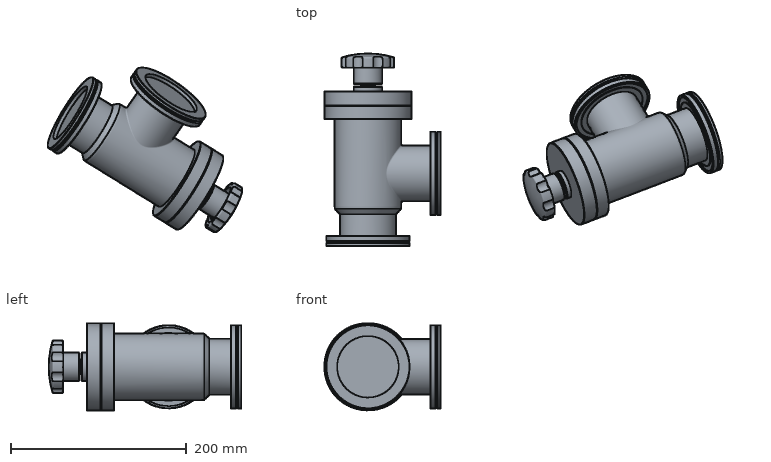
import cadquery as cq
import math


port_reach = 82.8
total_length = 219.3
bottom_y = -port_reach
top_y = bottom_y + total_length

body_radius = 38.1
lower_tube_radius = 32.0
side_tube_radius = 31.75
cone_start = 36.5
cone_height = 6.0
cone_small_radius = lower_tube_radius + 0.3
body_taper_height = 2.7
body_taper = 0.3
side_weld_fillet = 1.4

flange_radius = 47.5
flange_thickness = 12.0
flange_edge_chamfer = 0.4
rim_groove_start = 3.5
rim_groove_width = 2.8
rim_groove_depth = 1.4
clamp_groove_outer_radius = 44.7
clamp_groove_inner_radius = 38.6
clamp_groove_depth = 1.0
recess_radius = 35.0
recess_depth = 4.4

bonnet_radius = 49.75
bonnet_bottom_y = top_y - 74.8
bonnet_joint_y = top_y - 59.6
bonnet_top_y = top_y - 43.3
bonnet_chamfer = 0.6

collar_radius = 16.3
collar_top_y = top_y - 37.2
collar_chamfer = 1.2
stem_radius = 8.4
stem_step_radius = 7.6
stem_step_y = top_y - 36.0

hub_radius = 16.3
hub_bottom_y = top_y - 35.0
hub_chamfer = 0.8
knob_radius = 30.2
knob_bottom_y = top_y - 16.6
dome_radius = 100.0
knob_fillet = 2.0
lobe_count = 8
lobe_half_angle = 11.7
scallop_radius = 7.0
hollow_radius = 23.2
hollow_depth = 6.0
rib_radius = 4.8
rib_axis_distance = 14.0
rib_middle_angle = 135
rib_spread = 63


def disc(radius, y_from, y_to):
    """Cylinder on the Y axis between two levels."""
    return cq.Workplane("XZ", origin=(0, y_from, 0)).circle(radius).extrude(y_from - y_to)


def port_flange():
    """Grooved flange on the Y axis with its face at Y = 0 and its back at +Y."""
    flange = disc(flange_radius, 0, flange_thickness).edges().chamfer(flange_edge_chamfer)
    rim_groove = (
        cq.Workplane("XY")
        .moveTo(flange_radius, rim_groove_start)
        .lineTo(flange_radius - rim_groove_depth, rim_groove_start + rim_groove_width / 2)
        .lineTo(flange_radius, rim_groove_start + rim_groove_width)
        .close()
        .revolve(360, (0, 0, 0), (0, 1, 0))
    )
    clamp_groove_y = flange_thickness - clamp_groove_depth
    clamp_groove = disc(clamp_groove_outer_radius, clamp_groove_y, flange_thickness).cut(
        disc(clamp_groove_inner_radius, clamp_groove_y, flange_thickness)
    )
    recess = disc(recess_radius, 0, recess_depth)
    return flange.cut(rim_groove).cut(clamp_groove).cut(recess)


def valve_body():
    """Body tube with its cone, both port tubes and the weld fillet at the side tube."""
    tube_start_y = bottom_y + flange_thickness
    cone_start_y = bottom_y + cone_start
    cone_end_y = cone_start_y + cone_height
    profile = (
        cq.Workplane("XY")
        .moveTo(0, tube_start_y)
        .lineTo(lower_tube_radius, tube_start_y)
        .lineTo(lower_tube_radius, cone_start_y)
        .lineTo(cone_small_radius, cone_start_y)
        .lineTo(body_radius - body_taper, cone_end_y)
        .lineTo(body_radius, cone_end_y + body_taper_height)
        .lineTo(body_radius, bonnet_bottom_y)
        .lineTo(0, bonnet_bottom_y)
        .close()
    )
    body = profile.revolve(360, (0, 0, 0), (0, 1, 0))
    side_tube = cq.Workplane("YZ").circle(side_tube_radius).extrude(port_reach - flange_thickness)
    weld_region = cq.selectors.BoxSelector(
        (0, -body_radius, -body_radius),
        (port_reach / 2, body_radius, body_radius),
        boundingbox=True,
    )
    return body.union(side_tube).edges(weld_region).fillet(side_weld_fillet)


def bonnet():
    """Two stacked plates whose chamfers form a V at the joint."""
    lower_plate = disc(bonnet_radius, bonnet_bottom_y, bonnet_joint_y).edges().chamfer(bonnet_chamfer)
    upper_plate = disc(bonnet_radius, bonnet_joint_y, bonnet_top_y).edges().chamfer(bonnet_chamfer)
    return lower_plate.union(upper_plate)


def spindle():
    """Chamfered collar on the bonnet and the stepped stem up to the hub."""
    collar = disc(collar_radius, bonnet_top_y, collar_top_y).faces(">Y").chamfer(collar_chamfer)
    stem = disc(stem_radius, collar_top_y, stem_step_y)
    step = disc(stem_step_radius, stem_step_y, hub_bottom_y)
    return collar.union(stem).union(step)


def scallops():
    """Round cutters between the lobes, crossing the knob rim at the lobe edges."""
    pitch = 360 / lobe_count
    scallop_half_angle = math.radians(pitch / 2 - lobe_half_angle)
    half_chord = knob_radius * math.sin(scallop_half_angle)
    chord_distance = knob_radius * math.cos(scallop_half_angle)
    centre_distance = chord_distance + math.sqrt(scallop_radius ** 2 - half_chord ** 2)
    return (
        cq.Workplane("XZ", origin=(0, knob_bottom_y, 0))
        .polarArray(centre_distance, pitch / 2, 360, lobe_count)
        .circle(scallop_radius)
        .extrude(knob_bottom_y - top_y)
    )


def hub_ribs():
    """Two half-round ribs along the hub, as deep as the hollow."""
    angles = [math.radians(rib_middle_angle + side * rib_spread) for side in (-1, 1)]
    centres = [(rib_axis_distance * math.cos(a), rib_axis_distance * math.sin(a)) for a in angles]
    return (
        cq.Workplane("XZ", origin=(0, knob_bottom_y, 0))
        .pushPoints(centres)
        .circle(rib_radius)
        .extrude(-hollow_depth)
    )


def knob():
    """Domed, lobed knob with a hollow underside and a central hub."""
    dome_edge_y = top_y - dome_radius + math.sqrt(dome_radius ** 2 - knob_radius ** 2)
    grip = (
        cq.Workplane("XY")
        .moveTo(0, knob_bottom_y)
        .lineTo(knob_radius, knob_bottom_y)
        .lineTo(knob_radius, dome_edge_y)
        .radiusArc((0, top_y), -dome_radius)
        .close()
        .revolve(360, (0, 0, 0), (0, 1, 0))
        .edges()
        .fillet(knob_fillet)
    )
    hollow_top_y = knob_bottom_y + hollow_depth
    hollow = disc(hollow_radius, knob_bottom_y, hollow_top_y)
    hub = disc(hub_radius, hub_bottom_y, hollow_top_y).faces("<Y").chamfer(hub_chamfer)
    return grip.cut(scallops()).cut(hollow).union(hub).union(hub_ribs())


lower_flange = port_flange().translate((0, bottom_y, 0))
side_flange = port_flange().rotate((0, 0, 0), (0, 0, 1), 90).translate((port_reach, 0, 0))

result = valve_body()
for piece in (lower_flange, side_flange, bonnet(), spindle(), knob()):
    result = result.union(piece)